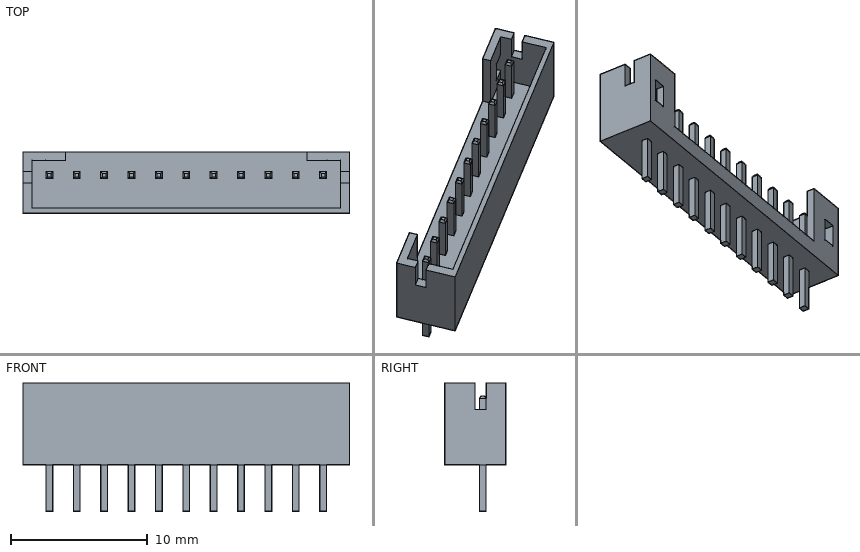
import cadquery as cq
import math

length = 23.9
depth = 4.5
height = 6.0
front_wall = 0.38
back_wall = 0.62
end_wall = 0.67
floor_thickness = 1.3

tab_length = 3.1
slot_width = 0.81
slot_depth = 1.94
window_width = 1.0
window_height = 1.82

pin_count = 11
pin_row_length = 20.0
pin_pitch = pin_row_length / (pin_count - 1)
pin_size = 0.5
pin_setback = 1.7
pin_tail = 3.4
pin_tip_drop = 0.95
tip_height = 0.2
tip_inset = 0.12

back_y = depth / 2
front_y = -depth / 2
cavity_half_length = length / 2 - end_wall
pin_y = back_y - pin_setback
slot_back_y = pin_y + pin_size / 2


def block(x_min, x_max, y_min, y_max, z_min, z_max):
    """Axis-aligned block between the given limits."""
    size = (x_max - x_min, y_max - y_min, z_max - z_min)
    return cq.Workplane("XY").box(*size, centered=False).translate((x_min, y_min, z_min))


def make_housing():
    shell = block(-length / 2, length / 2, front_y, back_y, 0, height)
    cavity = block(
        -cavity_half_length, cavity_half_length,
        front_y + front_wall, back_y - back_wall,
        floor_thickness, height,
    )
    gap_half_length = length / 2 - tab_length
    back_gap = block(
        -gap_half_length, gap_half_length,
        back_y - back_wall, back_y,
        floor_thickness, height,
    )
    slots = block(
        -length / 2, length / 2,
        slot_back_y - slot_width, slot_back_y,
        height - slot_depth, height,
    )
    return shell.cut(cavity).cut(back_gap).cut(slots)


def make_tab_windows():
    """Windows level with the slot floors, mirrored about the middle of the housing."""
    window_top = height - slot_depth
    window = block(
        cavity_half_length - window_width, cavity_half_length,
        back_y - back_wall, back_y,
        window_top - window_height, window_top,
    )
    return window.union(window.mirror("YZ"))


def make_pin(x):
    half = pin_size / 2
    shoulder_z = height - pin_tip_drop - tip_height
    post = block(x - half, x + half, pin_y - half, pin_y + half, -pin_tail, shoulder_z)
    tip_angle = math.degrees(math.atan2(tip_inset, tip_height))
    tip = post.faces(">Z").workplane(centerOption="CenterOfMass").rect(pin_size, pin_size)
    return tip.extrude(tip_height, taper=tip_angle)


result = make_housing().cut(make_tab_windows())
for index in range(pin_count):
    pin_x = index * pin_pitch - pin_row_length / 2
    result = result.union(make_pin(pin_x))